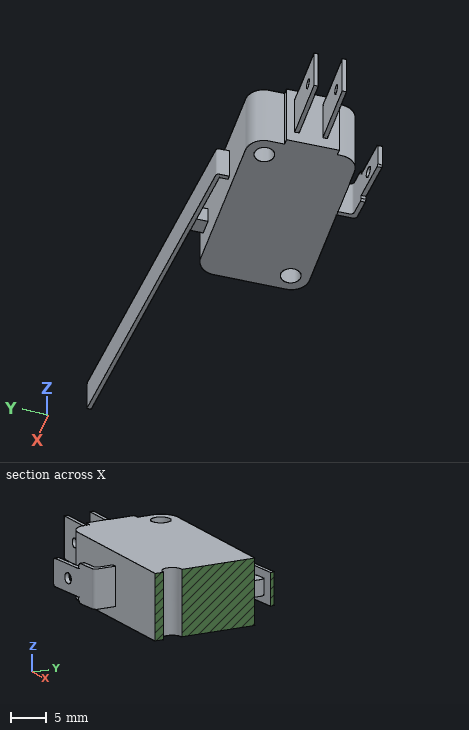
import cadquery as cq
import math

CASE_LENGTH = 27.9
CASE_WIDTH = 15.9
CASE_THICKNESS = 9.9
CASE_CORNER_RADIUS = 2.65
MOUNT_HOLE_DIAMETER = 2.9
MOUNT_HOLE_INSET = 2.8

TERMINAL_BLOCK_DEPTH = 0.9
TERMINAL_BLOCK_WIDTH = 7.7
TERMINAL_BLOCK_Y = 3.2

BLADE_LENGTH = 9.8
BLADE_HEIGHT = 6.3
BLADE_THICKNESS = 0.65
BLADE_CENTRES_Y = (5.3, 9.4)
BLADE_HOLE_DIAMETER = 1.4
BLADE_HOLE_INSET = 3.1

ARM_ANGLE = 5
EMBED = 0.7

LEVER_X = 10.8
LEVER_TIP_X = 71.8 - TERMINAL_BLOCK_DEPTH - BLADE_LENGTH
LEVER_TIP_Y = 22.1
LEVER_WIDTH = 4.95
LEVER_THICKNESS = 0.65
LEVER_BEND_RADIUS = 0.4

PLUNGER_X = 22.75
PLUNGER_WIDTH = 2.45
PLUNGER_TOP_Y = 18.3
PLUNGER_ROUNDING = 0.85

TAB_X = 13.65
TAB_TIP_X = 3.3
TAB_TIP_Y = LEVER_TIP_Y - 26.4
TAB_THICKNESS = 0.7
TAB_BEND_RADIUS = 0.6
TAB_WIDE = 5.9
TAB_NARROW = 4.2
TAB_SHOULDER_X = 9.8
TAB_CHAMFER = 0.3
TAB_HOLE_X = 7.05
TAB_HOLE_DIAMETER = 1.6


def box(x0, x1, y0, y1, height):
    """Box between the given X and Y limits, centred on Z = 0."""
    return cq.Workplane("XY").box(x1 - x0, y1 - y0, height).translate(((x0 + x1) / 2, (y0 + y1) / 2, 0))


def bent_strip(reach, leg, thickness, width, outer_radius, inner_radius=0):
    """Strip with its outer bend corner at the origin, leg along -Y and sloping arm along +X.

    The reach is the X distance to the far end of the arm.
    """
    angle = math.radians(ARM_ANGLE)
    end_dx = thickness * math.sin(angle)
    end_dy = thickness * math.cos(angle)
    outer_x = reach - end_dx
    outer_y = outer_x * math.tan(angle)
    inner_y = thickness * math.tan(angle) - thickness / math.cos(angle)
    strip = (
        cq.Workplane("XY")
        .polyline([
            (0, 0),
            (outer_x, outer_y),
            (reach, outer_y - end_dy),
            (thickness, inner_y),
            (thickness, -leg),
            (0, -leg),
        ])
        .close()
        .extrude(width / 2, both=True)
    )
    outer_edge = cq.selectors.NearestToPointSelector((0, 0, 0))
    strip = strip.edges("|Z").edges(outer_edge).fillet(outer_radius)
    if inner_radius > 0:
        inner_edge = cq.selectors.NearestToPointSelector((thickness, inner_y, 0))
        strip = strip.edges("|Z").edges(inner_edge).fillet(inner_radius)
    return strip


def corner_drop(reach, thickness):
    """Y distance from the bend corner to the outermost edge of the arm tip."""
    angle = math.radians(ARM_ANGLE)
    return (reach - thickness * math.sin(angle)) * math.tan(angle)


def make_case():
    case = box(0, CASE_LENGTH, 0, CASE_WIDTH, CASE_THICKNESS)
    case = case.edges("|Z").fillet(CASE_CORNER_RADIUS)
    block = box(
        -TERMINAL_BLOCK_DEPTH, CASE_CORNER_RADIUS,
        TERMINAL_BLOCK_Y, TERMINAL_BLOCK_Y + TERMINAL_BLOCK_WIDTH,
        CASE_THICKNESS,
    )
    holes = (
        cq.Workplane("XY")
        .pushPoints([
            (MOUNT_HOLE_INSET, CASE_WIDTH - MOUNT_HOLE_INSET),
            (CASE_LENGTH - MOUNT_HOLE_INSET, MOUNT_HOLE_INSET),
        ])
        .circle(MOUNT_HOLE_DIAMETER / 2)
        .extrude(CASE_THICKNESS, both=True)
    )
    return case.union(block).cut(holes)


def make_blade(centre_y):
    end_x = -TERMINAL_BLOCK_DEPTH - BLADE_LENGTH
    half = BLADE_THICKNESS / 2
    blade = box(end_x, 0, centre_y - half, centre_y + half, BLADE_HEIGHT)
    hole = (
        cq.Workplane("XZ", origin=(end_x + BLADE_HOLE_INSET, centre_y, 0))
        .circle(BLADE_HOLE_DIAMETER / 2)
        .extrude(BLADE_THICKNESS, both=True)
    )
    return blade.cut(hole)


def make_lever():
    reach = LEVER_TIP_X - LEVER_X
    corner_y = LEVER_TIP_Y - corner_drop(reach, LEVER_THICKNESS)
    leg = corner_y - CASE_WIDTH + EMBED
    lever = bent_strip(reach, leg, LEVER_THICKNESS, LEVER_WIDTH, LEVER_BEND_RADIUS)
    return lever.translate((LEVER_X, corner_y, 0))


def make_plunger():
    half = PLUNGER_WIDTH / 2
    plunger = box(PLUNGER_X - half, PLUNGER_X + half, CASE_WIDTH - EMBED, PLUNGER_TOP_Y, PLUNGER_WIDTH)
    return plunger.edges("|Z and >Y").fillet(PLUNGER_ROUNDING)


def make_tab():
    """Stepped side terminal: the bent strip turned half a turn, then trimmed to its outline."""
    reach = TAB_X - TAB_TIP_X
    corner_y = TAB_TIP_Y + corner_drop(reach, TAB_THICKNESS)
    leg = EMBED - corner_y
    strip = bent_strip(reach, leg, TAB_THICKNESS, TAB_WIDE, TAB_BEND_RADIUS, TAB_BEND_RADIUS)
    strip = strip.rotate((0, 0, 0), (0, 0, 1), 180).translate((TAB_X, corner_y, 0))

    trim_depth = 2 * abs(TAB_TIP_Y)
    head = box(TAB_SHOULDER_X, TAB_X, -trim_depth, trim_depth, TAB_WIDE)
    tongue = box(TAB_TIP_X, TAB_X, -trim_depth, trim_depth, TAB_NARROW)
    head = head.edges("|Y and <X").chamfer(TAB_CHAMFER)
    tongue = tongue.edges("|Y and <X").chamfer(TAB_CHAMFER)
    hole = (
        cq.Workplane("XZ", origin=(TAB_HOLE_X, 0, 0))
        .circle(TAB_HOLE_DIAMETER / 2)
        .extrude(trim_depth)
    )
    return strip.intersect(head.union(tongue)).cut(hole)


result = make_case().union(make_lever()).union(make_plunger()).union(make_tab())
for blade_y in BLADE_CENTRES_Y:
    result = result.union(make_blade(blade_y))